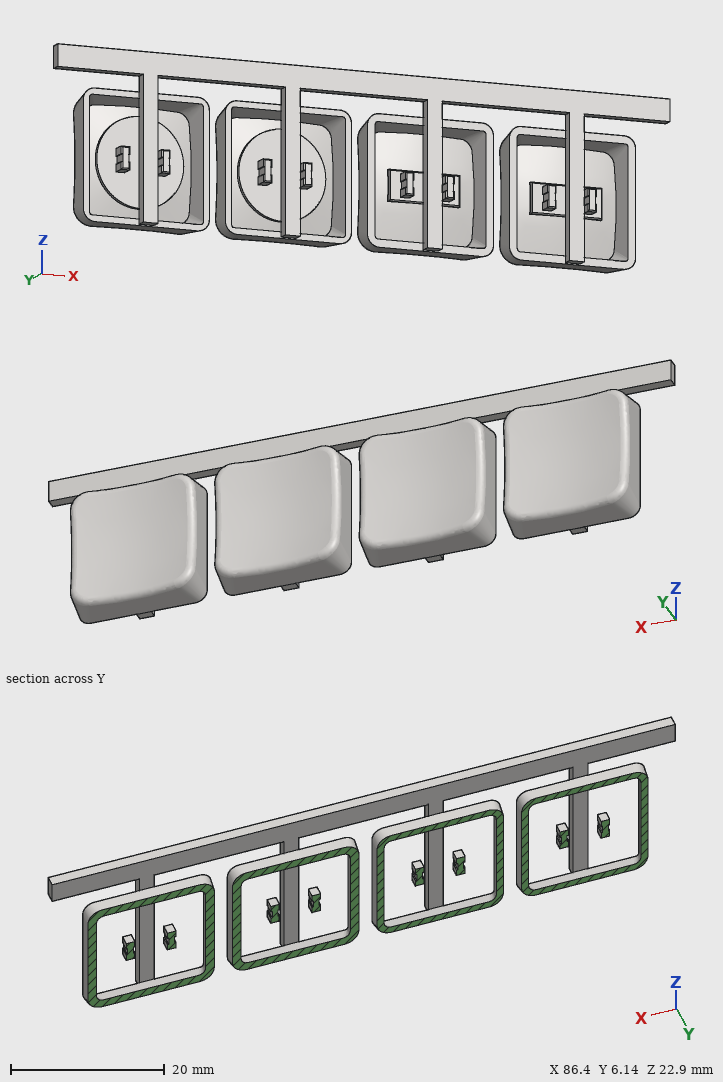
import cadquery as cq

frame_length = 86.4
frame_thickness = 1.5
bar_top = 14.0
bar_height = 3.0
runner_width = 2.1
runner_bottom = -8.7

cap_pitch = 20.0
cap_height = 4.7
cap_size = 17.8
cap_corner = 1.6
crown_size = 17.2
crown_corner = 3.0
edge_round = 0.9

dish_radius = 34.55
dish_low_height = 3.1

top_thickness = 1.0
mouth_corner = 0.4
hollow_taper = 1.6
hollow_end_corner = 2.0
disc_cap_mouth = 16.1
pad_cap_mouth = 15.6

disc_diameter = 12.3
pad_length = 10.0
pad_width = 4.2
pad_drop = 0.2
pad_bevel = 0.2

leg_spacing = 5.7
leg_thickness = 1.2
leg_width = 3.1
leg_reach = 2.0
leg_tip_bevel = 0.2
groove_width = 1.0
groove_depth = 0.2

rim_y = frame_thickness
top_y = rim_y + cap_height
dish_low_y = rim_y + dish_low_height
ceiling_low_y = dish_low_y - top_thickness
ceiling_radius = dish_radius + top_thickness


def block(size_x, size_z, y_start, y_end, center_z=0.0):
    """Box centred on x = 0 that spans two y levels."""
    size_y = y_end - y_start
    center = (0, y_start + size_y / 2, center_z)
    return cq.Workplane("XY").box(size_x, size_y, size_z).translate(center)


def tapered_block(size, corner, y_start, end_size, end_corner, y_end):
    """Loft along y between two rounded squares."""
    start = cq.Sketch().rect(size, size).vertices().fillet(corner)
    end = cq.Sketch().rect(end_size, end_size).vertices().fillet(end_corner)
    end = end.moved(cq.Location(cq.Vector(0, 0, y_end - y_start)))
    loft = cq.Workplane("XY").placeSketch(start, end).loft()
    return loft.rotate((0, 0, 0), (1, 0, 0), -90).translate((0, y_start, 0))


def ball(radius, low_y):
    """Sphere on the cap axis whose lowest point is at low_y."""
    return cq.Workplane("XY").sphere(radius).translate((0, low_y + radius, 0))


def make_shell(mouth_size):
    """Dished, rounded and hollowed keycap without its stem."""
    shell = tapered_block(cap_size, cap_corner, rim_y, crown_size, crown_corner, top_y + edge_round)
    shell = shell.cut(ball(dish_radius, dish_low_y))
    shell = shell.faces(">Y").edges().fillet(edge_round)
    end_size = mouth_size - hollow_taper
    hollow = tapered_block(mouth_size, mouth_corner, rim_y, end_size, hollow_end_corner, top_y)
    return shell.cut(hollow.cut(ball(ceiling_radius, ceiling_low_y)))


def make_leg():
    """One stem leg, bevelled at its tip and grooved down both sides."""
    tip_y = ceiling_low_y - leg_reach
    leg = block(leg_thickness, leg_width, tip_y, dish_low_y)
    leg = leg.faces("<Y").chamfer(leg_tip_bevel)
    groove = block(2 * groove_depth, groove_width, tip_y, ceiling_low_y)
    for side in (-1, 1):
        leg = leg.cut(groove.translate((side * leg_thickness / 2, 0, 0)))
    return leg


def add_legs(cap):
    """Join a pair of stem legs to a cap."""
    leg = make_leg()
    for side in (-1, 1):
        cap = cap.union(leg.translate((side * leg_spacing / 2, 0, 0)))
    return cap


def make_disc_cap():
    """Keycap whose stem stands on a round flat."""
    flat_plane = cq.Workplane("XZ", origin=(0, dish_low_y, 0))
    flat = flat_plane.circle(disc_diameter / 2).extrude(top_thickness)
    return add_legs(make_shell(disc_cap_mouth).union(flat))


def make_pad_cap():
    """Keycap whose stem stands on a raised rectangular pad."""
    pad = block(pad_length, pad_width, ceiling_low_y - pad_drop, dish_low_y)
    pad = pad.faces("<Y").chamfer(pad_bevel)
    return add_legs(make_shell(pad_cap_mouth).union(pad))


def make_frame(cap_centers):
    """Long bar with one runner per cap."""
    frame = block(frame_length, bar_height, 0, frame_thickness, bar_top - bar_height / 2)
    runner_length = bar_top - runner_bottom
    runner = block(runner_width, runner_length, 0, frame_thickness, bar_top - runner_length / 2)
    for x in cap_centers:
        frame = frame.union(runner.translate((x, 0, 0)))
    return frame


disc_cap = make_disc_cap()
pad_cap = make_pad_cap()
caps = [disc_cap, disc_cap, pad_cap, pad_cap]
cap_centers = [(i - (len(caps) - 1) / 2) * cap_pitch for i in range(len(caps))]

result = make_frame(cap_centers)
for cap, x in zip(caps, cap_centers):
    result = result.union(cap.translate((x, 0, 0)))